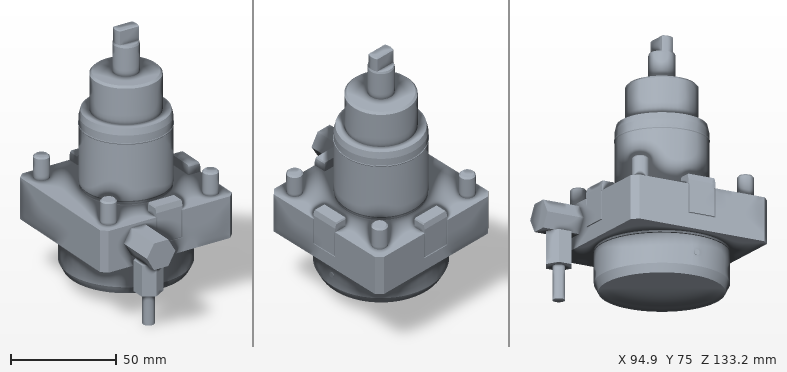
import cadquery as cq
import math


total_length = 94.9
total_height = 133.2

plate_side = 75.0
plate_thickness = 22.0
plate_corner_chamfer = 3.0
plate_edge = plate_side / 2

sleeve_radius = 22.5
sleeve_top = 40.2
sleeve_taper_height = 3.3
sleeve_taper_inset = 0.8
sleeve_foot_radius = 22.1
sleeve_foot_top = 1.6
sleeve_foot_chamfer_height = 0.8
sleeve_foot_rim_radius = 22.4
sleeve_foot_rim_height = 0.4
ring_radius = 22.8
ring_bottom = 32.1
ring_height = 0.8

nose_radius = 17.5
nose_top = 60.2
nose_chamfer = 1.0
shaft_radius = 6.5
shaft_top = 76.2
shaft_chamfer_height = 1.0
tang_radius = 6.1
tang_thickness = 6.0
tang_top = 84.0
tang_chamfer = 0.5

base_radius = 32.4
base_depth = 42.5
base_chamfer_height = 4.1
base_chamfer_inset = 2.1
base_collar_height = 0.9
base_groove_height = 0.4
base_groove_radius = 26.6
nub_radius = 1.5
nub_height = 0.4
nub_depth = 31.7

pin_radius = 4.0
pin_height = 12.0
pin_spacing = 58.0
pin_chamfer = 0.8

key_width = 14.9
key_depth = 6.9
key_height = 5.2
key_taper_start = 2.1
key_taper_inset = 0.8
key_end_chamfer_inset = 0.4
key_end_chamfer_height = 0.8
key_slot_height = 14.7
key_gap = 0.6
key_gap_depth = 0.7
key_angles = (0, 90, 180)

elbow_y = -17.7
plug_flats = 14.0
plug_center_z = -8.9
plug_end_x = total_length - plate_edge
hanger_x = 46.4
hanger_corners = 14.1
hanger_bottom = -32.4
tube_radius = 3.0
tube_bottom = tang_top - total_height


def spindle():
    """Turned sleeve, retaining ring, nose and shaft as one revolved body."""
    outline = [
        (0, 0),
        (sleeve_foot_rim_radius, 0),
        (sleeve_foot_radius, sleeve_foot_rim_height),
        (sleeve_foot_radius, sleeve_foot_top),
        (sleeve_radius, sleeve_foot_top + sleeve_foot_chamfer_height),
        (sleeve_radius, ring_bottom),
        (ring_radius, ring_bottom + ring_height / 2),
        (ring_radius, ring_bottom + ring_height),
        (sleeve_radius, ring_bottom + ring_height),
        (sleeve_radius, sleeve_top - sleeve_taper_height),
        (sleeve_radius - sleeve_taper_inset, sleeve_top),
        (nose_radius, sleeve_top),
        (nose_radius, nose_top - nose_chamfer),
        (nose_radius - nose_chamfer, nose_top),
        (shaft_radius, nose_top),
        (shaft_radius, shaft_top - shaft_chamfer_height),
        (tang_radius, shaft_top),
        (0, shaft_top),
    ]
    return cq.Workplane("XZ").polyline(outline).close().revolve(360, (0, 0), (0, 1))


def tang():
    """Flat driving tang with rounded ends, thin along X."""
    height = tang_top - shaft_top
    round_bar = cq.Workplane("XY", origin=(0, 0, shaft_top)).circle(tang_radius).extrude(height)
    slab = cq.Workplane("XY", origin=(0, 0, shaft_top)).rect(tang_thickness, 2 * tang_radius).extrude(height)
    return round_bar.intersect(slab).faces(">Z").chamfer(tang_chamfer)


def base():
    """Round base with a narrow groove under the plate and a bevelled lower rim."""
    groove_top = -plate_thickness - base_collar_height
    groove_bottom = groove_top - base_groove_height
    outline = [
        (0, -plate_thickness),
        (base_radius, -plate_thickness),
        (base_radius, groove_top),
        (base_groove_radius, groove_top),
        (base_groove_radius, groove_bottom),
        (base_radius, groove_bottom),
        (base_radius, base_chamfer_height - base_depth),
        (base_radius - base_chamfer_inset, -base_depth),
        (0, -base_depth),
    ]
    body = cq.Workplane("XZ").polyline(outline).close().revolve(360, (0, 0), (0, 1))
    nub = (
        cq.Workplane("XZ", origin=(0, 0, -nub_depth))
        .circle(nub_radius)
        .extrude(-(base_radius + nub_height))
    )
    return body.union(nub)


def plate():
    """Square flange plate with chamfered vertical corners."""
    return (
        cq.Workplane("XY")
        .rect(plate_side, plate_side)
        .extrude(-plate_thickness)
        .edges("|Z")
        .chamfer(plate_corner_chamfer)
    )


def pins():
    """Four chamfered pins standing on the plate."""
    return (
        cq.Workplane("XY")
        .rect(pin_spacing, pin_spacing, forConstruction=True)
        .vertices()
        .circle(pin_radius)
        .extrude(pin_height)
        .faces(">Z")
        .chamfer(pin_chamfer)
    )


def key_gap_cutter():
    """Shallow U-shaped gap around the sunk part of the key on the +X side."""
    inner_height = key_slot_height - key_gap
    inner_width = key_width - 2 * key_gap
    slot = cq.Workplane("YZ", origin=(plate_edge, 0, -key_slot_height / 2))
    face = cq.Workplane("YZ", origin=(plate_edge, 0, -inner_height / 2))
    return (
        slot.rect(key_width, key_slot_height)
        .extrude(-key_gap_depth)
        .cut(face.rect(inner_width, inner_height).extrude(-key_gap_depth))
    )


def key_head():
    """Part of the +X key above the plate, tapered towards a top with bevelled ends."""
    side_outline = [
        (plate_edge, 0),
        (plate_edge - key_depth, 0),
        (plate_edge - key_depth, key_height),
        (plate_edge - key_taper_inset, key_height),
        (plate_edge, key_taper_start),
    ]
    half = key_width / 2
    end_outline = [
        (-half, 0),
        (half, 0),
        (half, key_height - key_end_chamfer_height),
        (half - key_end_chamfer_inset, key_height),
        (key_end_chamfer_inset - half, key_height),
        (-half, key_height - key_end_chamfer_height),
    ]
    side = cq.Workplane("XZ").polyline(side_outline).close().extrude(half, both=True)
    ends = cq.Workplane("YZ").polyline(end_outline).close().extrude(plate_edge)
    return side.intersect(ends)


def elbow():
    """Hexagonal plug on the +X side with a hanging hexagon and a tube below it."""
    plug_corners = plug_flats / math.cos(math.pi / 6)
    plug = (
        cq.Workplane("YZ", origin=(plate_edge, elbow_y, plug_center_z))
        .polygon(6, plug_corners)
        .extrude(plug_end_x - plate_edge)
    )
    plug_bottom = plug_center_z - plug_flats / 2
    hanger = (
        cq.Workplane("XY", origin=(hanger_x, elbow_y, plug_bottom))
        .polygon(6, hanger_corners)
        .extrude(hanger_bottom - plug_bottom)
    )
    tube = (
        cq.Workplane("XY", origin=(hanger_x, elbow_y, hanger_bottom))
        .circle(tube_radius)
        .extrude(tube_bottom - hanger_bottom)
    )
    return plug.union(hanger).union(tube)


result = plate()
for angle in key_angles:
    result = result.cut(key_gap_cutter().rotate((0, 0, 0), (0, 0, 1), angle))
    result = result.union(key_head().rotate((0, 0, 0), (0, 0, 1), angle))
for feature in (pins(), base(), spindle(), tang(), elbow()):
    result = result.union(feature)